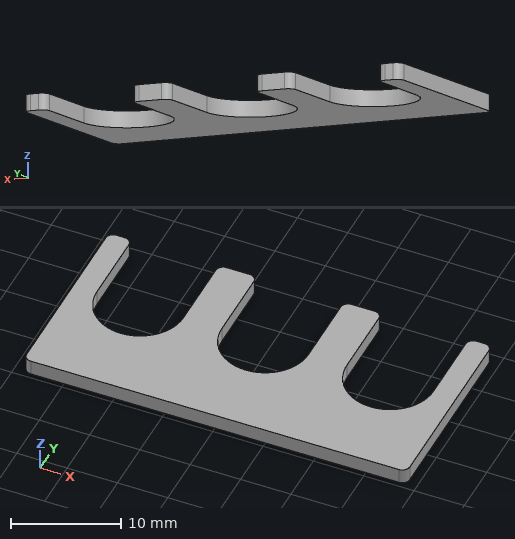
import cadquery as cq

length = 38.1
width = 19.05
thickness = 1.55
corner_radius = 0.75

slot_count = 3
slot_pitch = 12.42
slot_width = 8.6
slot_depth = 12.2
slot_radius = slot_width / 2


def make_slot(center_x):
    """Cutter for one slot: a straight channel ending in a half circle."""
    edge_y = width / 2
    arc_center_y = edge_y - slot_depth + slot_radius
    return (
        cq.Workplane("XY")
        .moveTo(center_x - slot_radius, edge_y)
        .lineTo(center_x - slot_radius, arc_center_y)
        .threePointArc(
            (center_x, edge_y - slot_depth),
            (center_x + slot_radius, arc_center_y),
        )
        .lineTo(center_x + slot_radius, edge_y)
        .close()
        .extrude(thickness)
    )


plate = cq.Workplane("XY").rect(length, width).extrude(thickness)
for index in range(slot_count):
    plate = plate.cut(make_slot((index - (slot_count - 1) / 2) * slot_pitch))

tip_edges = plate.faces(">Y").edges("|Z")
back_edges = plate.faces("<Y").edges("|Z")
result = tip_edges.add(back_edges).fillet(corner_radius)